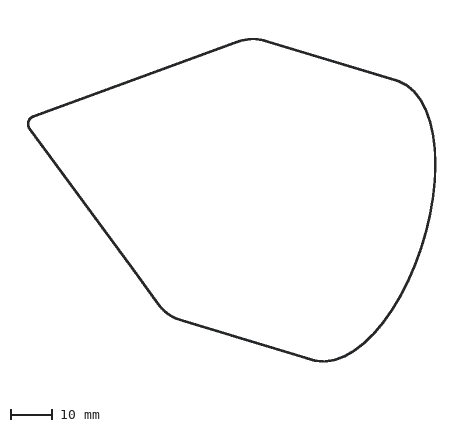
import cadquery as cq
import math

total_length = 93.9
body_diameter = 70.1
barrel_length = 39.2
tip_radius = 2.0
shoulder_radius = 2.0
rear_radius = 1.0

body_radius = body_diameter / 2
front_x = -total_length / 2
rear_x = total_length / 2
shoulder_x = rear_x - barrel_length

tip_center_x = front_x + tip_radius
shoulder_distance = math.hypot(shoulder_x - tip_center_x, body_radius)
cone_half_angle = (
    math.atan2(body_radius, shoulder_x - tip_center_x)
    - math.asin(tip_radius / shoulder_distance)
)
tangent_x = tip_center_x - tip_radius * math.sin(cone_half_angle)
tangent_r = tip_radius * math.cos(cone_half_angle)

mid_angle = (math.pi / 2 - cone_half_angle) / 2
tip_mid = (
    tip_center_x - tip_radius * math.cos(mid_angle),
    tip_radius * math.sin(mid_angle),
)

body = (
    cq.Workplane("XY")
    .moveTo(front_x, 0)
    .threePointArc(tip_mid, (tangent_x, tangent_r))
    .lineTo(shoulder_x, body_radius)
    .lineTo(rear_x, body_radius)
    .lineTo(rear_x, 0)
    .close()
    .revolve(360, (0, 0, 0), (1, 0, 0))
)

shoulder_edge = cq.selectors.NearestToPointSelector((shoulder_x, 0, 0))
body = body.edges("%CIRCLE and (not >X)").edges(shoulder_edge).fillet(shoulder_radius)
result = body.faces(">X").edges().fillet(rear_radius)